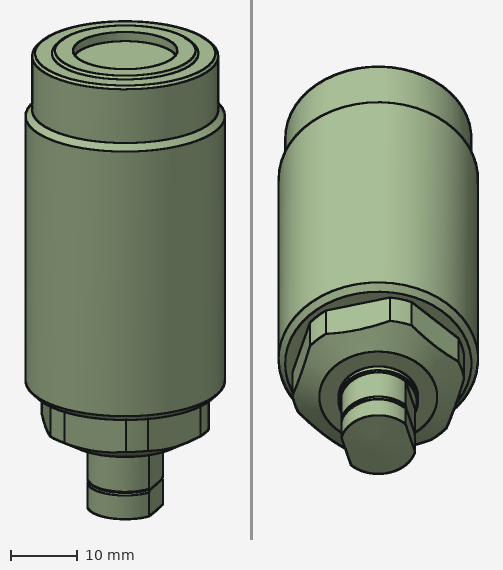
import cadquery as cq
import math

total_height = 73.9
stem_split_z = 4.8
collar_bottom_z = 10.8
hex_bottom_z = 11.9
housing_bottom_z = 19.8
shoulder_top_z = 64.4

housing_radius = 15.0
head_radius = 14.005
shoulder_chamfer = housing_radius - head_radius
head_chamfer = 0.45
rim_radius = 11.0
rim_height = 0.45
rim_chamfer = 0.45
window_radius = 7.8
window_depth = 1.5

hex_across_flats = 24.0
hex_round_radius = 13.0
hex_end_radius = 8.9
hex_cone_angle = 30.0
collar_radius = 6.0
collar_chamfer = 0.2

stem_radius = 5.73
stem_across_flats = 10.0
stem_chamfer = 0.3
tip_cone_height = 0.7


def revolve_profile(points):
    """Revolve (radius, height) points about the Z axis."""
    profile = cq.Workplane("XZ").polyline(points).close()
    return profile.revolve(360, (0, 0, 0), (0, 1, 0))


def cut_stem_flats(stem):
    """Trim a round stem to two flats facing -X and +X."""
    slab = cq.Workplane("XY").box(
        stem_across_flats, 2 * stem_radius, 2 * total_height
    )
    return stem.intersect(slab)


def make_housing():
    """Cylindrical housing with a stepped head and a round window recess."""
    head_top_z = total_height - rim_height
    window_floor_z = total_height - window_depth
    return revolve_profile([
        (0, housing_bottom_z),
        (housing_radius - shoulder_chamfer, housing_bottom_z),
        (housing_radius, housing_bottom_z + shoulder_chamfer),
        (housing_radius, shoulder_top_z - shoulder_chamfer),
        (head_radius, shoulder_top_z),
        (head_radius, head_top_z - head_chamfer),
        (head_radius - head_chamfer, head_top_z),
        (rim_radius, head_top_z),
        (rim_radius - rim_chamfer, total_height),
        (window_radius, total_height),
        (window_radius, window_floor_z),
        (0, window_floor_z),
    ])


def make_hex():
    """Hexagon with rounded corners and a conical lower end."""
    hex_height = housing_bottom_z - hex_bottom_z
    across_corners = hex_across_flats / math.cos(math.radians(30))
    cone_height = (hex_round_radius - hex_end_radius) * math.tan(math.radians(hex_cone_angle))
    prism = (
        cq.Workplane("XY", origin=(0, 0, hex_bottom_z))
        .polygon(6, across_corners)
        .extrude(hex_height)
    )
    envelope = revolve_profile([
        (0, hex_bottom_z),
        (hex_end_radius, hex_bottom_z),
        (hex_round_radius, hex_bottom_z + cone_height),
        (hex_round_radius, housing_bottom_z),
        (0, housing_bottom_z),
    ])
    return prism.intersect(envelope)


def make_end_fitting():
    """Hexagon, collar and upper stem as one body."""
    collar = revolve_profile([
        (0, collar_bottom_z),
        (collar_radius - collar_chamfer, collar_bottom_z),
        (collar_radius, collar_bottom_z + collar_chamfer),
        (collar_radius, hex_bottom_z),
        (0, hex_bottom_z),
    ])
    stem = revolve_profile([
        (0, stem_split_z),
        (stem_radius - stem_chamfer, stem_split_z),
        (stem_radius, stem_split_z + stem_chamfer),
        (stem_radius, collar_bottom_z),
        (0, collar_bottom_z),
    ])
    return make_hex().union(collar).union(cut_stem_flats(stem))


def make_tip():
    """Lower stem piece, chamfered at the upper end, with a shallow conical end."""
    tip = revolve_profile([
        (0, 0),
        (stem_radius, tip_cone_height),
        (stem_radius, stem_split_z - stem_chamfer),
        (stem_radius - stem_chamfer, stem_split_z),
        (0, stem_split_z),
    ])
    return cut_stem_flats(tip)


housing = make_housing()
end_fitting = make_end_fitting()
tip = make_tip()

result = cq.Compound.makeCompound([housing.val(), end_fitting.val(), tip.val()])